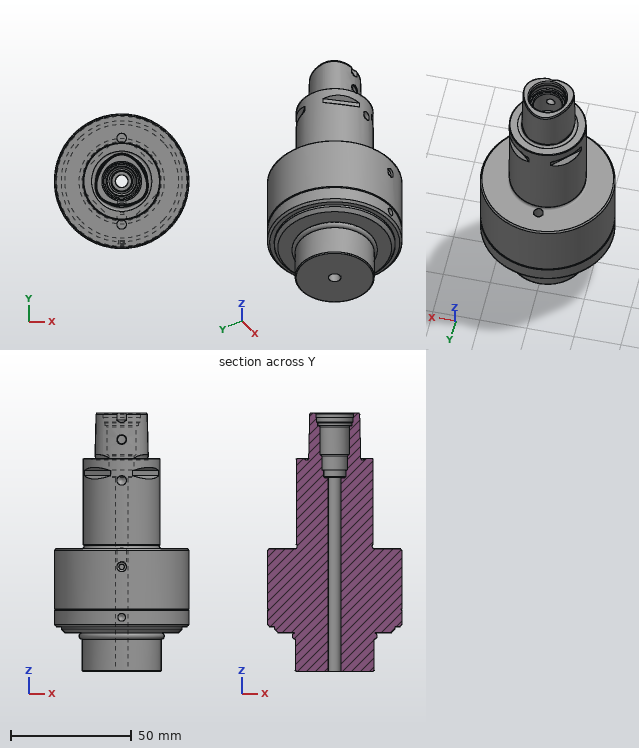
import cadquery as cq
import math

TOTAL_HEIGHT = 107.5
BODY_BOTTOM = 18.6
BODY_TOP = 51.1
SHANK_TOP = 88.6
TAPER_BOTTOM = 90.2

BODY_RADIUS = 56.0 / 2
BODY_TOP_CHAMFER = 0.6
BODY_BOTTOM_CHAMFER = 1.0
SEAM_Z = 25.8
SEAM_DEPTH = 0.3
STEP_RADIUS = 25.2
STEP_CHAMFER_TOP = 17.6
STEP_BOTTOM = 16.1
STEP_BOTTOM_RADIUS = 23.6
RING_RADIUS = 17.7
RING_BOTTOM = 13.4
PILOT_RADIUS = 16.5
PILOT_CHAMFER = 0.4

SHANK_RADIUS = 16.0
SHANK_CHAMFER = 0.3
RELIEF_TOP = 52.9
RELIEF_CHAMFER_HEIGHT = 0.5
RELIEF_RADIUS = 15.7
RELIEF_FILLET_RADIUS = 1.0

TAPER_MEAN_RADIUS_TOP = 21.2 / 2
TAPER_RATE = 1 / 40
LOBE_OFFSET = 0.6
LOBE_SPACING = 120
LOBE_HALF_ANGLE = 20.0
SPANS_PER_EDGE = 8
TAPER_EMBED = 1.1
TAPER_FLAT_RADIUS = TAPER_MEAN_RADIUS_TOP - LOBE_OFFSET
TAPER_CHAMFER_HEIGHT = 0.8
TAPER_CHAMFER_INSET = 0.3
UNDERCUT_OUTER_RADIUS = 25.0 / 2
UNDERCUT_INNER_RADIUS = 10.9
UNDERCUT_DEPTH = 0.6
UNDERCUT_MIDDLE_RADIUS = 11.1
UNDERCUT_TOP_RADIUS = 11.6
UNDERCUT_TOP = 90.2

MOUTH_RADIUS = 8.3
MOUTH_CHAMFER_HEIGHT = 0.4
LIP_RADIUS = 7.7
LIP_BOTTOM = 105.6
GUIDE_RADIUS = 7.5
GUIDE_BOTTOM = 103.6
SEAT_RADIUS = 7.0
SEAT_TOP = 103.3
SEAT_BOTTOM = 102.2
BORE_CHAMFER = 0.3
BORE_RADIUS = 6.0
BORE_TOP = 101.6
BORE_BOTTOM = 90.3
THREAD_RADIUS = 10.4 / 2
THREAD_BOTTOM = 83.8
PILOT_BORE_RADIUS = 4.5
PILOT_BORE_BOTTOM = 80.6
FLOOR_CHAMFER = 0.4
THROUGH_RADIUS = 2.6

CUT_CLEARANCE = 1.1

HOLE_RADIUS = 4.0 / 2
DRILL_POINT_ANGLE = 118.0
COOLANT_HOLE_Z = 96.4
COOLANT_HOLE_RADIUS = 3.5 / 2
COOLANT_MOUTH_DEPTH = 0.3
INDEX_HOLE_Z = 79.4
INDEX_HOLE_DEPTH = 2.2
SCREW_HOLE_Z = 43.5
SCREW_HOLE_DEPTH = 1.1
HEX_ACROSS_CORNERS = 2.5
HEX_DEPTH = 1.1
SPANNER_HOLE_Z = 22.6
SPANNER_HOLE_RADIUS = 1.6
SPANNER_HOLE_DEPTH = 2.2
NOTCH_RADIUS = 2.9
NOTCH_CENTER_Y = -11.9
NOTCH_DEPTH = 3.0
NOTCH_POINT_ANGLE = 90.0
PIN_HOLE_CENTER = 18.0
PIN_HOLE_DEPTH = 5.4

GROOVE_Z = 82.5
GROOVE_FLOOR_DISTANCE = 14.1
GROOVE_FLOOR_HALF_WIDTH = 1.02
GROOVE_MOUTH_HALF_WIDTH = 4.8 / 2


def drill_point_height(radius, point_angle=DRILL_POINT_ANGLE):
    return radius / math.tan(math.radians(point_angle / 2))


def turned_body():
    """Revolve the outer profile from the lower end face to the top of the shank."""
    fillet = RELIEF_FILLET_RADIUS
    ring_half_height = (STEP_BOTTOM - RING_BOTTOM) / 2
    arc_middle = fillet * (1 - math.sqrt(0.5))
    return (
        cq.Workplane("XZ")
        .lineTo(PILOT_RADIUS - PILOT_CHAMFER, 0)
        .lineTo(PILOT_RADIUS, PILOT_CHAMFER)
        .lineTo(PILOT_RADIUS, RING_BOTTOM)
        .threePointArc((RING_RADIUS, RING_BOTTOM + ring_half_height), (PILOT_RADIUS, STEP_BOTTOM))
        .lineTo(STEP_BOTTOM_RADIUS, STEP_BOTTOM)
        .lineTo(STEP_RADIUS, STEP_CHAMFER_TOP)
        .lineTo(STEP_RADIUS, BODY_BOTTOM)
        .lineTo(BODY_RADIUS - BODY_BOTTOM_CHAMFER, BODY_BOTTOM)
        .lineTo(BODY_RADIUS, BODY_BOTTOM + BODY_BOTTOM_CHAMFER)
        .lineTo(BODY_RADIUS, SEAM_Z - SEAM_DEPTH)
        .lineTo(BODY_RADIUS - SEAM_DEPTH, SEAM_Z)
        .lineTo(BODY_RADIUS, SEAM_Z + SEAM_DEPTH)
        .lineTo(BODY_RADIUS, BODY_TOP - BODY_TOP_CHAMFER)
        .lineTo(BODY_RADIUS - BODY_TOP_CHAMFER, BODY_TOP)
        .lineTo(RELIEF_RADIUS + fillet, BODY_TOP)
        .threePointArc(
            (RELIEF_RADIUS + arc_middle, BODY_TOP + arc_middle),
            (RELIEF_RADIUS, BODY_TOP + fillet),
        )
        .lineTo(RELIEF_RADIUS, RELIEF_TOP - RELIEF_CHAMFER_HEIGHT)
        .lineTo(SHANK_RADIUS, RELIEF_TOP)
        .lineTo(SHANK_RADIUS, SHANK_TOP - SHANK_CHAMFER)
        .lineTo(SHANK_RADIUS - SHANK_CHAMFER, SHANK_TOP)
        .lineTo(0, SHANK_TOP)
        .close()
        .revolve(360, (0, 0), (0, 1))
    )


def lobed_wire(mean_radius, z):
    """Closed three-lobed curve with one lobe toward +Y, split at the sides of each lobe."""

    def point(angle):
        x = -mean_radius * math.sin(angle) + LOBE_OFFSET * math.sin(2 * angle)
        y = mean_radius * math.cos(angle) + LOBE_OFFSET * math.cos(2 * angle)
        return cq.Vector(x, y, z)

    def tangent(angle):
        x = -mean_radius * math.cos(angle) + 2 * LOBE_OFFSET * math.cos(2 * angle)
        y = -mean_radius * math.sin(angle) - 2 * LOBE_OFFSET * math.sin(2 * angle)
        return cq.Vector(x, y, 0)

    def edge(start_degrees, end_degrees):
        start = math.radians(start_degrees)
        step = (math.radians(end_degrees) - start) / SPANS_PER_EDGE
        angles = [start + step * i for i in range(SPANS_PER_EDGE + 1)]
        return cq.Edge.makeSpline(
            [point(angle) for angle in angles],
            tangents=[tangent(angles[0]), tangent(angles[-1])],
        )

    edges = []
    for lobe_angle in range(0, 360, LOBE_SPACING):
        lobe_end = lobe_angle + LOBE_HALF_ANGLE
        edges.append(edge(lobe_angle - LOBE_HALF_ANGLE, lobe_end))
        edges.append(edge(lobe_end, lobe_angle + LOBE_SPACING - LOBE_HALF_ANGLE))
    return cq.Wire.assembleEdges(edges)


def lobed_taper():
    """Straight foot, tapered length and chamfered tip, with the tapered length ruled."""
    chamfer_z = TOTAL_HEIGHT - TAPER_CHAMFER_HEIGHT
    bottom_radius = TAPER_MEAN_RADIUS_TOP + TAPER_RATE * (chamfer_z - TAPER_BOTTOM)
    sections = [
        lobed_wire(bottom_radius, SHANK_TOP - TAPER_EMBED),
        lobed_wire(bottom_radius, TAPER_BOTTOM),
        lobed_wire(TAPER_MEAN_RADIUS_TOP, chamfer_z),
        lobed_wire(TAPER_MEAN_RADIUS_TOP - TAPER_CHAMFER_INSET, TOTAL_HEIGHT),
    ]
    taper = cq.Workplane("XY")
    for lower, upper in zip(sections, sections[1:]):
        taper = taper.add(cq.Solid.makeLoft([lower, upper], True))
    return taper.combine()


def taper_undercut():
    """Rounded ditch in the shank end face that also hollows the foot of each lobe."""
    ditch_middle = (UNDERCUT_INNER_RADIUS + UNDERCUT_OUTER_RADIUS) / 2
    hollow_middle = (UNDERCUT_MIDDLE_RADIUS, (SHANK_TOP + UNDERCUT_TOP) / 2)
    return (
        cq.Workplane("XZ")
        .moveTo(UNDERCUT_OUTER_RADIUS, SHANK_TOP)
        .threePointArc((ditch_middle, SHANK_TOP - UNDERCUT_DEPTH), (UNDERCUT_INNER_RADIUS, SHANK_TOP))
        .threePointArc(hollow_middle, (UNDERCUT_TOP_RADIUS, UNDERCUT_TOP))
        .lineTo(UNDERCUT_OUTER_RADIUS, UNDERCUT_TOP)
        .close()
        .revolve(360, (0, 0), (0, 1))
    )


def central_bore():
    """Stepped bore with a chamfered mouth, narrowing ledges and a small through hole."""
    return (
        cq.Workplane("XZ")
        .lineTo(THROUGH_RADIUS, 0)
        .lineTo(THROUGH_RADIUS, PILOT_BORE_BOTTOM)
        .lineTo(PILOT_BORE_RADIUS - FLOOR_CHAMFER, PILOT_BORE_BOTTOM)
        .lineTo(PILOT_BORE_RADIUS, PILOT_BORE_BOTTOM + FLOOR_CHAMFER)
        .lineTo(PILOT_BORE_RADIUS, THREAD_BOTTOM)
        .lineTo(THREAD_RADIUS, THREAD_BOTTOM)
        .lineTo(THREAD_RADIUS, BORE_BOTTOM - (BORE_RADIUS - THREAD_RADIUS))
        .lineTo(BORE_RADIUS, BORE_BOTTOM)
        .lineTo(BORE_RADIUS, BORE_TOP)
        .lineTo(BORE_RADIUS + BORE_CHAMFER, SEAT_BOTTOM)
        .lineTo(SEAT_RADIUS, SEAT_BOTTOM)
        .lineTo(SEAT_RADIUS, SEAT_TOP)
        .lineTo(GUIDE_RADIUS, GUIDE_BOTTOM)
        .lineTo(GUIDE_RADIUS, LIP_BOTTOM)
        .lineTo(LIP_RADIUS, LIP_BOTTOM)
        .lineTo(LIP_RADIUS, TOTAL_HEIGHT - MOUTH_CHAMFER_HEIGHT)
        .lineTo(MOUTH_RADIUS, TOTAL_HEIGHT)
        .lineTo(0, TOTAL_HEIGHT)
        .close()
        .revolve(360, (0, 0), (0, 1))
    )


def drilled_hole(radius, depth, point_angle=DRILL_POINT_ANGLE):
    """Hole with a drill point, opening at the origin and running along -Z."""
    tip = depth + drill_point_height(radius, point_angle)
    return (
        cq.Workplane("XZ")
        .moveTo(0, CUT_CLEARANCE)
        .lineTo(radius, CUT_CLEARANCE)
        .lineTo(radius, -depth)
        .lineTo(0, -tip)
        .close()
        .revolve(360, (0, 0), (0, 1))
    )


def facing_front(cutter, surface_radius, z):
    """Turn a cutter that runs along -Z so that it enters the -Y side at the given height."""
    return cutter.rotate((0, 0, 0), (1, 0, 0), 90).translate((0, -surface_radius, z))


def pin_hole(center_y):
    """Flat-bottomed hole in the top face of the body, running into the relief fillet."""
    height = PIN_HOLE_DEPTH + CUT_CLEARANCE
    bottom = (0, center_y, BODY_TOP - PIN_HOLE_DEPTH)
    return cq.Workplane("XY").circle(HOLE_RADIUS).extrude(height).translate(bottom)


def screw_hole():
    """Hole whose conical floor ends in a hexagon socket."""
    hex_bottom = SCREW_HOLE_DEPTH + drill_point_height(HOLE_RADIUS) + HEX_DEPTH
    socket = cq.Workplane("XY").polygon(6, HEX_ACROSS_CORNERS).extrude(-hex_bottom)
    return drilled_hole(HOLE_RADIUS, SCREW_HOLE_DEPTH).union(socket)


def coolant_hole():
    """Radial hole into the central bore with a slightly wider mouth."""
    depth = TAPER_FLAT_RADIUS
    through = cq.Workplane("XY").circle(COOLANT_HOLE_RADIUS).extrude(-depth)
    mouth_bottom = cq.Workplane("XY").workplane(offset=-COOLANT_MOUTH_DEPTH)
    mouth = mouth_bottom.circle(HOLE_RADIUS).extrude(COOLANT_MOUTH_DEPTH + CUT_CLEARANCE)
    return through.union(mouth)


def gripper_groove(angle):
    """Straight groove with sloping sides, cut across the shank at the given angle."""
    mouth_distance = SHANK_RADIUS + CUT_CLEARANCE
    slope = (GROOVE_MOUTH_HALF_WIDTH - GROOVE_FLOOR_HALF_WIDTH) / (SHANK_RADIUS - GROOVE_FLOOR_DISTANCE)
    mouth_half = GROOVE_MOUTH_HALF_WIDTH + slope * CUT_CLEARANCE
    return (
        cq.Workplane("XZ")
        .moveTo(GROOVE_FLOOR_DISTANCE, GROOVE_Z - GROOVE_FLOOR_HALF_WIDTH)
        .lineTo(mouth_distance, GROOVE_Z - mouth_half)
        .lineTo(mouth_distance, GROOVE_Z + mouth_half)
        .lineTo(GROOVE_FLOOR_DISTANCE, GROOVE_Z + GROOVE_FLOOR_HALF_WIDTH)
        .close()
        .extrude(SHANK_RADIUS, both=True)
        .rotate((0, 0, 0), (0, 0, 1), angle)
    )


result = turned_body().union(lobed_taper())
result = result.cut(taper_undercut()).cut(central_bore())

for groove_angle in (45, 135, 225, 315):
    result = result.cut(gripper_groove(groove_angle))

for pin_y in (-PIN_HOLE_CENTER, PIN_HOLE_CENTER):
    result = result.cut(pin_hole(pin_y))

key_notch = drilled_hole(NOTCH_RADIUS, NOTCH_DEPTH, NOTCH_POINT_ANGLE)
key_notch = key_notch.translate((0, NOTCH_CENTER_Y, TOTAL_HEIGHT))
index_hole = drilled_hole(HOLE_RADIUS, INDEX_HOLE_DEPTH)
spanner_hole = drilled_hole(SPANNER_HOLE_RADIUS, SPANNER_HOLE_DEPTH)

result = result.cut(key_notch)
result = result.cut(facing_front(coolant_hole(), TAPER_FLAT_RADIUS, COOLANT_HOLE_Z))
result = result.cut(facing_front(index_hole, SHANK_RADIUS, INDEX_HOLE_Z))
result = result.cut(facing_front(screw_hole(), BODY_RADIUS, SCREW_HOLE_Z))
result = result.cut(facing_front(spanner_hole, BODY_RADIUS, SPANNER_HOLE_Z))